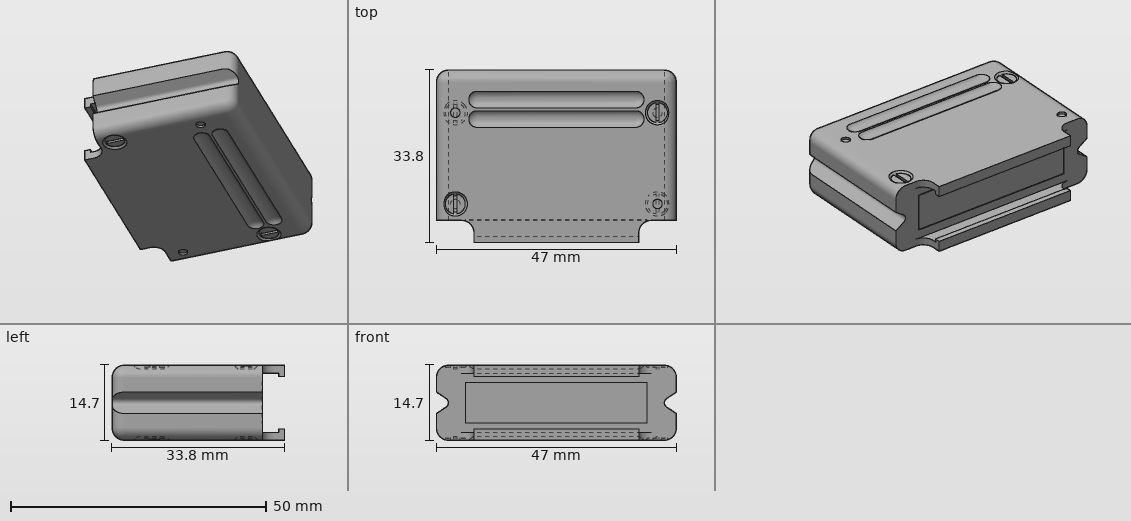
import cadquery as cq
import math


body_width = 46.99
total_length = 33.78
body_height = 14.73
edge_radius = 2.4

tab_width = 32.3
tab_length = 4.32
tab_thickness = 1.59
tab_root_radius = 2.4
lip_length = 1.2
lip_height = 2.26

notch_depth = 2.34
notch_mouth_half = 2.1
notch_root_radius = 1.0

recess_width = 35.56
recess_height = 7.85
recess_depth = 0.15

groove_width = 3.26
groove_depth = 0.76
groove_straight = 31.04
groove_flat_width = 0.42
groove_count = 2
groove_pitch = 3.81
groove_back_offset = 5.8

fastener_spacing_x = 39.58
fastener_spacing_y = 17.86
fastener_back_offset = 8.36
screw_recess_diameter = 4.76
screw_head_diameter = 3.9
screw_head_depth = 0.36
screw_slot_width = 0.6
screw_slot_floor_depth = 0.8
pin_hole_diameter = 1.85
pin_hole_depth = 0.45

body_length = total_length - tab_length
half_width = body_width / 2
top_z = body_height / 2
fastener_x = fastener_spacing_x / 2
fastener_back_y = body_length - fastener_back_offset
fastener_front_y = fastener_back_y - fastener_spacing_y


def on_both_halves(upper_shape):
    """Return the shape together with its copy on the lower half."""
    lower_shape = upper_shape.rotate((0, 0, 0), (0, 1, 0), 180)
    return upper_shape.union(lower_shape)


def make_body():
    """Block rounded on every edge except those of the front face."""
    block = cq.Workplane("XY").box(body_width, body_length, body_height, centered=(True, False, True))
    rounded_edges = block.edges("|Y").add(block.faces(">Y").edges())
    return rounded_edges.fillet(edge_radius)


def make_tab():
    """Tab of the upper half: flared at its root, with a lip at its tip."""
    half_tab = tab_width / 2
    half_root = half_tab + tab_root_radius
    arc_offset = tab_root_radius * (1 - math.sqrt(0.5))
    plate = (
        cq.Workplane("XY", origin=(0, 0, top_z - tab_thickness))
        .moveTo(-half_tab, -tab_length)
        .lineTo(half_tab, -tab_length)
        .lineTo(half_tab, -tab_root_radius)
        .threePointArc((half_tab + arc_offset, -arc_offset), (half_root, 0))
        .lineTo(-half_root, 0)
        .threePointArc((-half_tab - arc_offset, -arc_offset), (-half_tab, -tab_root_radius))
        .close()
        .extrude(tab_thickness)
    )
    lip = (
        cq.Workplane("XY", origin=(0, -tab_length, top_z - lip_height))
        .box(tab_width, lip_length, lip_height, centered=(True, False, False))
    )
    return plate.union(lip)


def make_side_notch():
    """Notch in the +X side: straight flanks tangent to a round root; its turned copy is in -X."""
    root_center_x = half_width - notch_depth + notch_root_radius
    center_to_mouth_x = half_width - root_center_x
    center_to_mouth = math.hypot(center_to_mouth_x, notch_mouth_half)
    mouth_angle = math.atan2(notch_mouth_half, center_to_mouth_x)
    tangent_angle = mouth_angle + math.acos(notch_root_radius / center_to_mouth)
    tangent_x = root_center_x + notch_root_radius * math.cos(tangent_angle)
    tangent_z = notch_root_radius * math.sin(tangent_angle)
    return (
        cq.Workplane("XZ")
        .moveTo(half_width, notch_mouth_half)
        .lineTo(tangent_x, tangent_z)
        .threePointArc((half_width - notch_depth, 0), (tangent_x, -tangent_z))
        .lineTo(half_width, -notch_mouth_half)
        .close()
        .extrude(-body_length)
    )


def make_front_recess():
    """Shallow rectangular recess between the two tabs."""
    return cq.Workplane("XZ").rect(recess_width, recess_height).extrude(-recess_depth)


def draw_groove_half_section(sketch_plane):
    """Half section of a grip groove: an arc from the rim down to the flat bottom."""
    half_rim = groove_width / 2
    half_flat = groove_flat_width / 2
    run = half_rim - half_flat
    arc_radius = (run**2 + groove_depth**2) / (2 * groove_depth)
    mid_arc_angle = math.atan2(groove_depth, run)
    mid_arc_x = half_flat + arc_radius * math.sin(mid_arc_angle)
    mid_arc_z = -groove_depth + arc_radius * (1 - math.cos(mid_arc_angle))
    return (
        sketch_plane.moveTo(0, 0)
        .lineTo(half_rim, 0)
        .threePointArc((mid_arc_x, mid_arc_z), (half_flat, -groove_depth))
        .lineTo(0, -groove_depth)
        .close()
    )


def make_groove(center_y):
    """Grip groove along X in the top face, with its section revolved at both ends."""
    middle_plane = cq.Workplane("YZ", origin=(-groove_straight / 2, center_y, top_z))
    half_middle = draw_groove_half_section(middle_plane).extrude(groove_straight)
    groove = half_middle.union(half_middle.mirror("XZ", (0, center_y, 0)))
    for end_x in (-groove_straight / 2, groove_straight / 2):
        end_plane = cq.Workplane("XZ", origin=(end_x, center_y, top_z))
        groove = groove.union(draw_groove_half_section(end_plane).revolve(360, (0, 0), (0, 1)))
    return groove


def make_screw_recess(x, y):
    """Countersink around a slotted screw head; the slot runs along Y to the cone."""
    cone_top_radius = screw_recess_diameter / 2
    countersink = cq.Workplane(
        cq.Solid.makeCone(
            cone_top_radius,
            cone_top_radius - screw_slot_floor_depth,
            screw_slot_floor_depth,
            pnt=cq.Vector(x, y, top_z),
            dir=cq.Vector(0, 0, -1),
        )
    )
    slot_height = screw_slot_floor_depth - screw_head_depth
    floor_plane = cq.Workplane("XY", origin=(x, y, top_z - screw_slot_floor_depth))
    head = floor_plane.circle(screw_head_diameter / 2).extrude(slot_height)
    slot_bar = floor_plane.rect(screw_slot_width, screw_recess_diameter).extrude(slot_height)
    return countersink.cut(head.cut(slot_bar))


def make_pin_hole(x, y):
    """Small blind hole in the top face."""
    return (
        cq.Workplane("XY", origin=(x, y, top_z))
        .circle(pin_hole_diameter / 2)
        .extrude(-pin_hole_depth)
    )


result = make_body()
result = result.union(on_both_halves(make_tab()))
result = result.cut(on_both_halves(make_side_notch()))
result = result.cut(make_front_recess())

for groove_index in range(groove_count):
    groove_y = body_length - groove_back_offset - groove_index * groove_pitch
    result = result.cut(on_both_halves(make_groove(groove_y)))

for side, screw_y, pin_y in (
    (1, fastener_back_y, fastener_front_y),
    (-1, fastener_front_y, fastener_back_y),
):
    result = result.cut(on_both_halves(make_screw_recess(side * fastener_x, screw_y)))
    result = result.cut(on_both_halves(make_pin_hole(side * fastener_x, pin_y)))